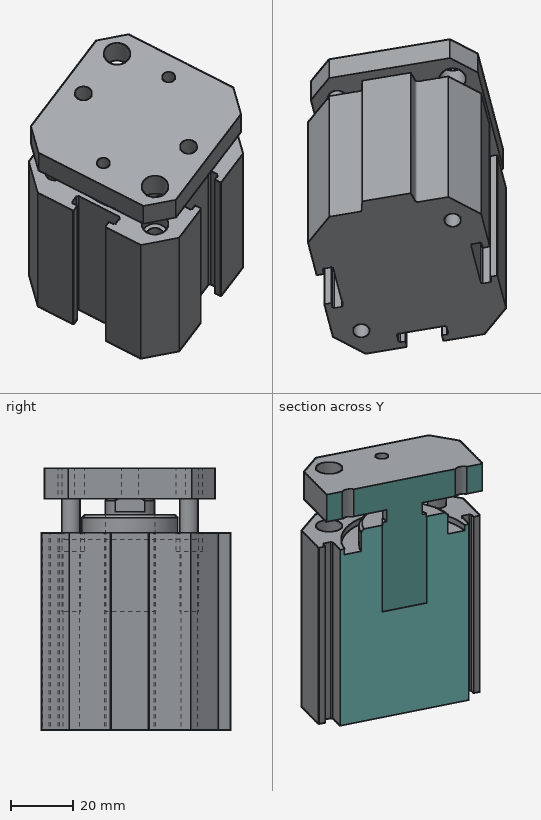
import cadquery as cq

total_height = 84.5
plate_thickness = 10.0
housing_height = 63.6
plate_bottom = total_height - plate_thickness

housing_width = 57.0
housing_corner = 8.95
plate_width = 55.0
plate_corner = 7.6

rail_height = 4.0
rail_base_width = 17.9
rail_top_width = 16.0
rail_foot_radius = 0.85

slot_opening = 12.0
slot_lip = 2.4
slot_inner_width = 16.4
slot_depth = 5.8
slot_inner_chamfer = 0.5
slot_mouth_chamfer = 0.25

recess_diameter = 42.5
recess_depth = 2.0
boss_diameter = 31.0
boss_height = 5.8
boss_chamfer = 1.0
boss_top = housing_height + boss_height

piston_rod_diameter = 16.0
flat_width = 12.85
flat_clearance = 1.0
rod_end_chamfer = 0.5
guide_rod_diameter = 6.0
rod_engagement = 25.35
rod_bottom = housing_height - rod_engagement

corner_offset = 19.0
access_hole_diameter = 8.5
mounting_hole_diameter = 5.3
counterbore_depth = 6.0
plate_hole_offset = 19.9
x_hole_diameter = 5.5
y_hole_diameter = 4.1

centre_point = [(0, 0)]
guide_rod_points = [(-corner_offset, -corner_offset), (corner_offset, corner_offset)]
mounting_points = [(-corner_offset, corner_offset), (corner_offset, -corner_offset)]


def cylinders(points, diameter, bottom, top):
    """Vertical cylinders centred on the given XY points."""
    circles = cq.Workplane("XY", origin=(0, 0, bottom)).pushPoints(points).circle(diameter / 2)
    return circles.extrude(top - bottom)


def octagon(width, corner, bottom, top):
    """Square block with its four vertical edges chamfered."""
    block = cq.Workplane("XY", origin=(0, 0, bottom)).rect(width, width).extrude(top - bottom)
    return block.edges("|Z").chamfer(corner)


def add_rail(body):
    """Tapered rail along the +Y face, with rounded feet."""
    face_y = housing_width / 2
    rail = (
        cq.Workplane("XY")
        .moveTo(-rail_base_width / 2, face_y)
        .lineTo(-rail_top_width / 2, face_y + rail_height)
        .lineTo(rail_top_width / 2, face_y + rail_height)
        .lineTo(rail_base_width / 2, face_y)
        .lineTo(rail_base_width / 2, 0)
        .lineTo(-rail_base_width / 2, 0)
        .close()
        .extrude(housing_height)
    )
    foot_edges = cq.selectors.BoxSelector(
        (-rail_base_width, face_y - rail_foot_radius, 0),
        (rail_base_width, face_y + rail_foot_radius, housing_height),
    )
    return body.union(rail).edges("|Z").edges(foot_edges).fillet(rail_foot_radius)


def t_slot_cutter():
    """T-shaped slot opening through the -Y face over the full housing height."""
    half_opening = slot_opening / 2
    half_inner = slot_inner_width / 2
    half_floor = half_inner - slot_inner_chamfer
    right_side = [
        (half_opening + slot_mouth_chamfer, 0),
        (half_opening, slot_mouth_chamfer),
        (half_opening, slot_lip),
        (half_floor, slot_lip),
        (half_inner, slot_lip + slot_inner_chamfer),
        (half_inner, slot_depth - slot_inner_chamfer),
        (half_floor, slot_depth),
    ]
    left_side = [(-x, depth) for x, depth in reversed(right_side)]
    profile = cq.Workplane("XY", origin=(0, -housing_width / 2, 0)).polyline(right_side + left_side)
    return profile.close().extrude(housing_height)


def add_boss(body):
    """Chamfered boss standing on the floor of a round recess."""
    floor_z = housing_height - recess_depth
    body = body.cut(cylinders(centre_point, recess_diameter, floor_z, housing_height))
    boss = cylinders(centre_point, boss_diameter, floor_z, boss_top)
    return body.union(boss.faces(">Z").chamfer(boss_chamfer))


def make_piston_rod():
    """Rod with a chamfered end and a pair of wrench flats facing -X and +X."""
    rod = cylinders(centre_point, piston_rod_diameter, rod_bottom, plate_bottom)
    rod = rod.faces(">Z").chamfer(rod_end_chamfer)
    flat_bottom = boss_top + flat_clearance
    across_flats = (
        cq.Workplane("XY", origin=(0, 0, flat_bottom))
        .rect(flat_width, piston_rod_diameter)
        .extrude(plate_bottom - flat_bottom)
    )
    shank = cylinders(centre_point, piston_rod_diameter, rod_bottom, flat_bottom)
    return rod.intersect(shank.union(across_flats))


def make_housing():
    body = add_rail(octagon(housing_width, housing_corner, 0, housing_height))
    for angle in (-90, 0, 90):
        body = body.cut(t_slot_cutter().rotate((0, 0, 0), (0, 0, 1), angle))
    body = add_boss(body)

    counterbore_floor = housing_height - counterbore_depth
    body = body.cut(cylinders(mounting_points, mounting_hole_diameter, 0, housing_height))
    body = body.cut(cylinders(mounting_points, access_hole_diameter, counterbore_floor, housing_height))

    body = body.cut(cylinders(centre_point, piston_rod_diameter, rod_bottom, boss_top))
    return body.cut(cylinders(guide_rod_points, guide_rod_diameter, rod_bottom, housing_height))


def make_moving_plate():
    """Top plate together with its piston rod and guide rods."""
    plate = octagon(plate_width, plate_corner, plate_bottom, total_height)
    x_hole_points = [(-plate_hole_offset, 0), (plate_hole_offset, 0)]
    y_hole_points = [(0, -plate_hole_offset), (0, plate_hole_offset)]
    for points, diameter in (
        (mounting_points, access_hole_diameter),
        (x_hole_points, x_hole_diameter),
        (y_hole_points, y_hole_diameter),
    ):
        plate = plate.cut(cylinders(points, diameter, plate_bottom, total_height))
    guide_rods = cylinders(guide_rod_points, guide_rod_diameter, rod_bottom, plate_bottom)
    return plate.union(guide_rods).union(make_piston_rod())


housing = make_housing()
moving_plate = make_moving_plate()
result = cq.Compound.makeCompound([housing.val(), moving_plate.val()])